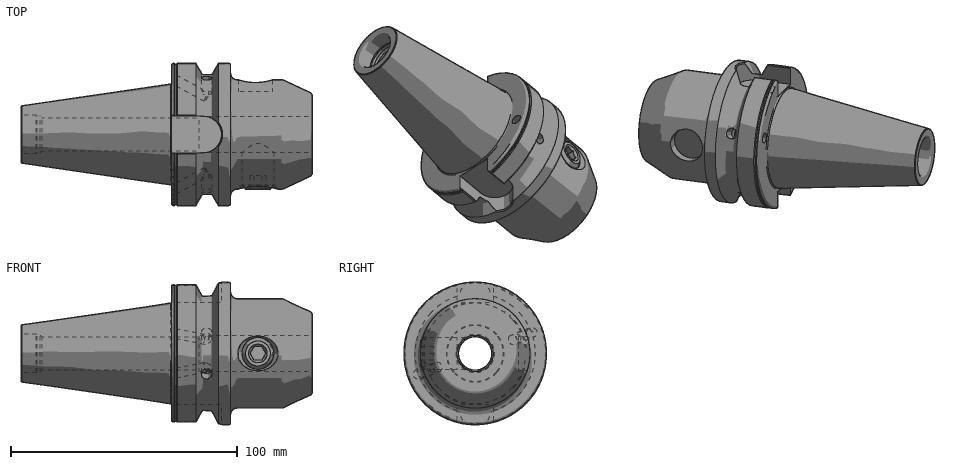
import cadquery as cq
import math

clearance = 1.0
tolerance = 0.05

taper_rear_x = -65.4
flange_face_x = 0.9
taper_neck_end_x = 0.5
front_groove_start_x = 11.6
rear_groove_start_x = 21.6
flange_back_x = 27.0
nose_cone_start_x = 50.0
nose_x = 63.0

taper_front_radius = 44.45 / 2
taper_ratio = 7 / 24
taper_rear_radius = taper_front_radius + taper_rear_x * taper_ratio / 2
recess_radius = 24.8
flange_radius = 63.0 / 2
body_radius = 48.3 / 2
nose_cone_angle = 25.0

taper_rear_chamfer = 0.3
taper_root_fillet = 0.5
flange_front_rounding = 1.0
flange_back_rounding = 1.0
neck_fillet = 3.0
cone_blend_radius = 2.0
nose_rounding = 1.8

groove_flank_angle = 60.0
groove_floor_radius = 53.0 / 2
groove_floor_fillet = 0.6
groove_flank_run = (flange_radius - groove_floor_radius) / math.tan(math.radians(groove_flank_angle))

marking_groove_start_x = 2.1
marking_groove_end_x = 3.5
marking_groove_depth = 0.4

keyway_width = 16.1
keyway_floor = 22.5
keyway_end_x = 22.95
keyway_chamfer = 0.5

shank_bore_radius = 16.0 / 2
shank_bore_depth = 50.0
passage_radius = 14.6 / 2
drawbar_bore_radius = 17.0 / 2
drawbar_bore_depth = 6.5
collar_radius = 8.1
collar_length = 1.4
drawbar_mouth_rounding = 1.0

screw_x = 39.0
screw_radius = 14.0 / 2
screw_head_y = -body_radius
screw_length = -screw_head_y - shank_bore_radius
screw_chamfer = 1.5
hex_across_flats = 6.0
hex_depth = 6.0
hex_mouth_radius = 4.1
screw_pit_radius = 8.9

balance_x = 37.9
balance_radius = 15.0 / 2
balance_floor_y = 19.0

coolant_radius = 4.3 / 2
coolant_angle = 20.0
coolant_mouth_radius = 26.5
coolant_slant = 30.0
coolant_radial_radius = 4.7 / 2
coolant_radial_x = 16.4
coolant_radial_depth = 7.0


def turned_outline():
    """Solid of revolution about X, before any cutting."""
    cone_drop = (nose_x - nose_cone_start_x) * math.tan(math.radians(nose_cone_angle))
    root_radius = taper_front_radius + taper_root_fillet
    root_x = taper_neck_end_x + taper_root_fillet
    profile = (
        cq.Workplane("XY")
        .moveTo(taper_rear_x, 0)
        .lineTo(taper_rear_x, taper_rear_radius - taper_rear_chamfer)
        .lineTo(taper_rear_x + taper_rear_chamfer, taper_rear_radius)
        .lineTo(0, taper_front_radius)
        .lineTo(taper_neck_end_x, taper_front_radius)
        .radiusArc((root_x, root_radius), -taper_root_fillet)
        .lineTo(flange_face_x, recess_radius)
        .lineTo(flange_face_x, flange_radius - flange_front_rounding)
        .radiusArc((flange_face_x + flange_front_rounding, flange_radius), flange_front_rounding)
        .lineTo(marking_groove_start_x, flange_radius)
        .lineTo(marking_groove_start_x + marking_groove_depth, flange_radius - marking_groove_depth)
        .lineTo(marking_groove_end_x - marking_groove_depth, flange_radius - marking_groove_depth)
        .lineTo(marking_groove_end_x, flange_radius)
        .lineTo(front_groove_start_x, flange_radius)
        .lineTo(front_groove_start_x + groove_flank_run, groove_floor_radius)
        .lineTo(rear_groove_start_x - groove_flank_run, groove_floor_radius)
        .lineTo(rear_groove_start_x, flange_radius)
        .lineTo(flange_back_x - flange_back_rounding, flange_radius)
        .radiusArc((flange_back_x, flange_radius - flange_back_rounding), flange_back_rounding)
        .lineTo(flange_back_x, body_radius + neck_fillet)
        .radiusArc((flange_back_x + neck_fillet, body_radius), -neck_fillet)
        .lineTo(nose_cone_start_x, body_radius)
        .lineTo(nose_x, body_radius - cone_drop)
        .lineTo(nose_x, 0)
        .close()
    )
    body = profile.revolve(360, (0, 0, 0), (1, 0, 0))
    body = body.edges(">X").fillet(nose_rounding)
    body = body.edges(ring_at(nose_cone_start_x)).fillet(cone_blend_radius)
    for floor_end_x in (front_groove_start_x + groove_flank_run, rear_groove_start_x - groove_flank_run):
        body = body.edges(ring_at(floor_end_x)).fillet(groove_floor_fillet)
    return body


def ring_at(x):
    """Selector for the circular edges that lie in the plane at one X position."""
    reach = 2 * flange_radius
    low_corner = (x - tolerance, -reach, -reach)
    high_corner = (x + tolerance, reach, reach)
    return cq.selectors.BoxSelector(low_corner, high_corner, boundingbox=True)


def keyway():
    """Round-ended cutter for the +Z keyway, open toward the taper."""
    half_width = keyway_width / 2
    centre_x = keyway_end_x - half_width
    return (
        cq.Workplane("XY").workplane(offset=keyway_floor)
        .moveTo(0, -half_width)
        .lineTo(centre_x, -half_width)
        .threePointArc((keyway_end_x, 0), (centre_x, half_width))
        .lineTo(0, half_width)
        .close()
        .extrude(flange_radius)
    )


def axial_bores():
    """Stepped bore along X: drawbar end with a rounded mouth, passage, and shank bore at the nose."""
    mouth_radius = drawbar_bore_radius + drawbar_mouth_rounding
    drawbar_floor_x = taper_rear_x + drawbar_bore_depth
    collar_start_x = drawbar_floor_x + drawbar_bore_radius - collar_radius
    collar_end_x = collar_start_x + collar_length
    passage_start_x = collar_end_x + collar_radius - passage_radius
    return (
        cq.Workplane("XY")
        .moveTo(taper_rear_x, 0)
        .lineTo(taper_rear_x, mouth_radius)
        .radiusArc((taper_rear_x + drawbar_mouth_rounding, drawbar_bore_radius), -drawbar_mouth_rounding)
        .lineTo(drawbar_floor_x, drawbar_bore_radius)
        .lineTo(collar_start_x, collar_radius)
        .lineTo(collar_end_x, collar_radius)
        .lineTo(passage_start_x, passage_radius)
        .lineTo(nose_x - shank_bore_depth, passage_radius)
        .lineTo(nose_x - shank_bore_depth, shank_bore_radius)
        .lineTo(nose_x, shank_bore_radius)
        .lineTo(nose_x, 0)
        .close()
        .revolve(360, (0, 0, 0), (1, 0, 0))
    )


def screw_hole():
    """Radial hole for the screw and its 45 degree pit on the body surface."""
    inward = cq.Vector(0, 1, 0)
    hole = cq.Solid.makeCylinder(screw_radius, body_radius, cq.Vector(screw_x, -body_radius, 0), inward)
    pit = cq.Solid.makeCone(screw_pit_radius, 0, screw_pit_radius,
                            cq.Vector(screw_x, -body_radius, 0), inward)
    return [hole, pit]


def balance_hole():
    return cq.Solid.makeCylinder(balance_radius, body_radius - balance_floor_y,
                                 cq.Vector(balance_x, balance_floor_y, 0), cq.Vector(0, 1, 0))


def coolant_holes():
    """Coolant hole pair in the +Y plane, before turning about the axis."""
    radial = cq.Solid.makeCylinder(
        coolant_radial_radius, coolant_radial_depth + clearance,
        cq.Vector(coolant_radial_x, groove_floor_radius + clearance, 0), cq.Vector(0, -1, 0))
    run = coolant_radial_x - flange_face_x
    slant = math.radians(coolant_slant)
    direction = cq.Vector(math.cos(slant), -math.sin(slant), 0)
    mouth = cq.Vector(flange_face_x, coolant_mouth_radius, 0)
    overshoot = coolant_radius
    slanted = cq.Solid.makeCylinder(
        coolant_radius, run / math.cos(slant) + overshoot, mouth - direction * overshoot, direction)
    return [radial, slanted]


def outer_keyway_edges(side):
    """Selector for the keyway edges on the outside of the flange; side is +1 for +Z, -1 for -Z."""
    half_width = keyway_width / 2
    edge_height = math.sqrt(flange_radius ** 2 - half_width ** 2)
    heights = sorted((side * (edge_height - tolerance), side * (flange_radius + tolerance)))
    front = (marking_groove_end_x - tolerance, -half_width - tolerance, heights[0])
    back = (keyway_end_x + tolerance, half_width + tolerance, heights[1])
    return cq.selectors.BoxSelector(front, back, boundingbox=True)


def make_holder():
    body = turned_outline()
    for side, turn in ((1, 0), (-1, 180)):
        body = body.cut(keyway().rotate((0, 0, 0), (1, 0, 0), turn))
        body = body.edges(outer_keyway_edges(side)).chamfer(keyway_chamfer)
        for hole in coolant_holes():
            body = body.cut(cq.Workplane(hole).rotate((0, 0, 0), (1, 0, 0), coolant_angle + turn))
    body = body.cut(axial_bores())
    for hole in screw_hole():
        body = body.cut(cq.Workplane(hole))
    return body.cut(cq.Workplane(balance_hole()))


def make_screw():
    head_plane = cq.Plane(origin=(screw_x, screw_head_y, 0), xDir=(1, 0, 0), normal=(0, -1, 0))
    screw = (cq.Workplane(head_plane).circle(screw_radius).extrude(-screw_length)
             .edges("<Y").chamfer(screw_chamfer))
    hex_corner_diameter = hex_across_flats / math.cos(math.radians(30))
    socket = cq.Workplane(head_plane).polygon(6, hex_corner_diameter).extrude(-hex_depth)
    mouth = cq.Workplane(cq.Solid.makeCone(hex_mouth_radius, 0, hex_mouth_radius,
                                           cq.Vector(screw_x, screw_head_y, 0), cq.Vector(0, 1, 0)))
    return screw.cut(socket).cut(mouth)


holder = make_holder()
screw = make_screw()
result = cq.Compound.makeCompound([holder.val(), screw.val()])